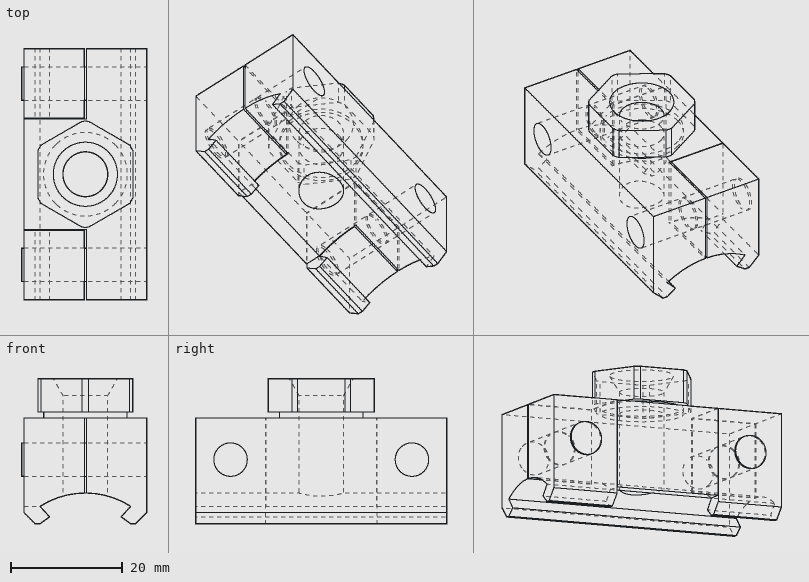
import cadquery as cq
import math

block_width = 22.0
block_length = 45.0
block_height = 19.0
half_width = block_width / 2
half_length = block_length / 2

jaw_length = 12.5
jaw_gap_across = 0.35
jaw_gap_along = 0.1
jaw_inner_y = half_length - jaw_length
half_middle = jaw_inner_y - jaw_gap_along
half_gap = jaw_gap_across / 2

saddle_radius = 15.0
saddle_half_width = 8.1
saddle_crown_z = 5.5
hook_tip_x = 6.4
hook_tip_z = 1.25
hook_foot_inner_x = 8.1
hook_foot_outer_x = 9.0
outer_bevel = half_width - hook_foot_outer_x
saddle_axis_z = saddle_crown_z - saddle_radius
saddle_edge_z = saddle_axis_z + math.sqrt(saddle_radius**2 - saddle_half_width**2)

pin_diameter = 6.0
pin_protrusion = 0.4
pin_axis_z = 11.5
pin_axis_y = half_length - jaw_length / 2

bore_diameter = 8.0
collar_diameter = 15.0
collar_height = 1.0
hex_across_flats = 17.0
hex_corner_diameter = 19.0
hex_height = 6.0
countersink_diameter = 11.5
countersink_angle = 60.0


def box_between(x_min, x_max, y_min, y_max, z_min, z_max):
    """Axis-aligned box given by its limits."""
    size = (x_max - x_min, y_max - y_min, z_max - z_min)
    return cq.Workplane("XY").box(*size, centered=False).translate((x_min, y_min, z_min))


def make_rail_block():
    """Full-length block with the saddle and both hooks, before it is parted."""
    return (
        cq.Workplane("XZ")
        .moveTo(-half_width, block_height)
        .lineTo(half_width, block_height)
        .lineTo(half_width, outer_bevel)
        .lineTo(hook_foot_outer_x, 0)
        .lineTo(hook_foot_inner_x, 0)
        .lineTo(hook_tip_x, hook_tip_z)
        .lineTo(saddle_half_width, saddle_edge_z)
        .threePointArc((0, saddle_crown_z), (-saddle_half_width, saddle_edge_z))
        .lineTo(-hook_tip_x, hook_tip_z)
        .lineTo(-hook_foot_inner_x, 0)
        .lineTo(-hook_foot_outer_x, 0)
        .lineTo(-half_width, outer_bevel)
        .close()
        .extrude(half_length, both=True)
    )


def make_pin(side):
    """Plain pin along X, standing proud on the -X face and flush on the +X face."""
    return (
        cq.Workplane("YZ", origin=(-half_width - pin_protrusion, side * pin_axis_y, pin_axis_z))
        .circle(pin_diameter / 2)
        .extrude(block_width + pin_protrusion)
    )


def make_jaw(side):
    """Clamp jaw on the -X side, bored for its pin; side is +1 or -1 along Y."""
    y_limits = sorted((side * jaw_inner_y, side * half_length))
    jaw_space = box_between(-half_width, -half_gap, *y_limits, 0, block_height)
    return make_rail_block().intersect(jaw_space).cut(make_pin(side))


def make_body():
    """T-shaped body: full length on the +X side, only the middle on the -X side."""
    body = make_rail_block()
    for side in (1, -1):
        y_limits = sorted((side * half_middle, side * half_length))
        body = body.cut(box_between(-half_width, half_gap, *y_limits, 0, block_height))
        body = body.cut(make_pin(side))
    body = body.cut(box_between(-half_width, 0, -half_middle, half_middle, 0, saddle_edge_z))
    bore = cq.Workplane("XY").circle(bore_diameter / 2).extrude(block_height)
    return body.cut(bore)


def make_bushing():
    """Hexagonal head with turned corners on a round collar, bored and countersunk."""
    hex_corner_span = hex_across_flats / math.cos(math.pi / 6)
    head_z = block_height + collar_height
    corner_turning = (
        cq.Workplane("XY", origin=(0, 0, head_z)).circle(hex_corner_diameter / 2).extrude(hex_height)
    )
    head = (
        cq.Workplane("XY", origin=(0, 0, head_z))
        .polygon(6, hex_corner_span)
        .extrude(hex_height)
        .rotate((0, 0, 0), (0, 0, 1), 30)
        .intersect(corner_turning)
    )
    collar = (
        cq.Workplane("XY", origin=(0, 0, block_height)).circle(collar_diameter / 2).extrude(collar_height)
    )
    return (
        head.union(collar)
        .faces(">Z")
        .workplane(origin=(0, 0, 0))
        .cskHole(bore_diameter, countersink_diameter, countersink_angle)
    )


body = make_body()
bushing = make_bushing()
jaws = [make_jaw(side) for side in (1, -1)]
pins = [make_pin(side) for side in (1, -1)]

result = cq.Compound.makeCompound(
    [body.val(), bushing.val()] + [jaw.val() for jaw in jaws] + [pin.val() for pin in pins]
)